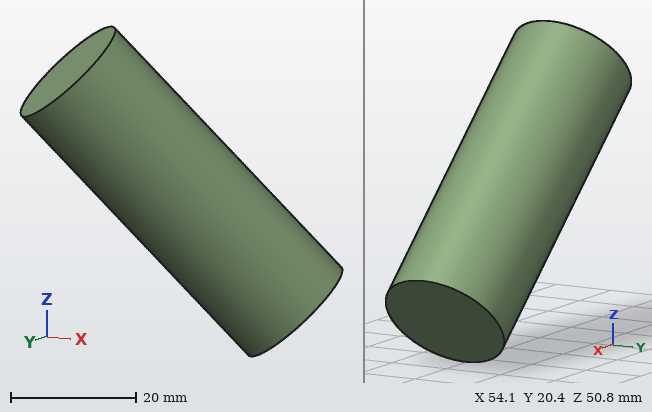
import cadquery as cq
import math

diameter = 20.45
length = 53.97
tilt = 41.0


def tilted_cylinder():
    """Plain cylinder centred on the origin, its axis sloping down towards +X."""
    slope = math.radians(tilt)
    direction = cq.Vector(math.cos(slope), 0, -math.sin(slope))
    start = direction * (-length / 2)
    return cq.Workplane(cq.Solid.makeCylinder(diameter / 2, length, start, direction))


result = tilted_cylinder()